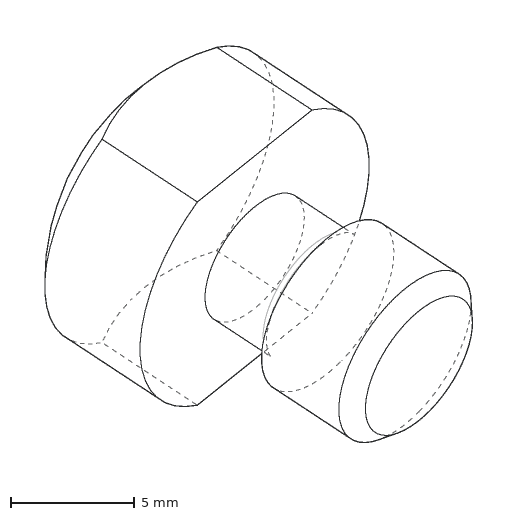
import cadquery as cq
import math

total_length = 17.0
head_length = 8.0
across_flats = 12.0
flat_angle = 30.0
dome_radius = 10.0
neck_diameter = 6.0
shank_diameter = 8.0
shank_start = 12.0
shank_chamfer = 0.76
taper_angle = 30.0
neck_fillet = 0.4

head_radius = across_flats / 2 / math.cos(math.radians(flat_angle))
neck_radius = neck_diameter / 2
shank_radius = shank_diameter / 2


def make_head():
    """Domed round head with two flats facing up and down."""
    cylinder = cq.Workplane("YZ").circle(head_radius).extrude(head_length)
    dome = cq.Workplane("XY").sphere(dome_radius).translate((dome_radius, 0, 0))
    flats = cq.Workplane("XY").box(
        head_length, 2 * head_radius, across_flats, centered=(False, True, True)
    )
    return cylinder.intersect(dome).intersect(flats)


def make_stem():
    """Relieved neck blending through a cone into the chamfered shank."""
    corner = shank_start - (shank_radius - neck_radius) * math.tan(math.radians(taper_angle))
    turn = math.radians(90 - taper_angle)
    fillet_start = corner - neck_fillet * math.tan(turn / 2)
    fillet_center_radius = neck_radius + neck_fillet

    def fillet_point(angle):
        return (
            fillet_start + neck_fillet * math.sin(angle),
            fillet_center_radius - neck_fillet * math.cos(angle),
        )

    return (
        cq.Workplane("XY")
        .moveTo(head_length, 0)
        .lineTo(head_length, neck_radius)
        .lineTo(fillet_start, neck_radius)
        .threePointArc(fillet_point(turn / 2), fillet_point(turn))
        .lineTo(shank_start, shank_radius)
        .lineTo(total_length - shank_chamfer, shank_radius)
        .lineTo(total_length, shank_radius - shank_chamfer)
        .lineTo(total_length, 0)
        .close()
        .revolve(360, (0, 0, 0), (1, 0, 0))
    )


result = make_head().union(make_stem())